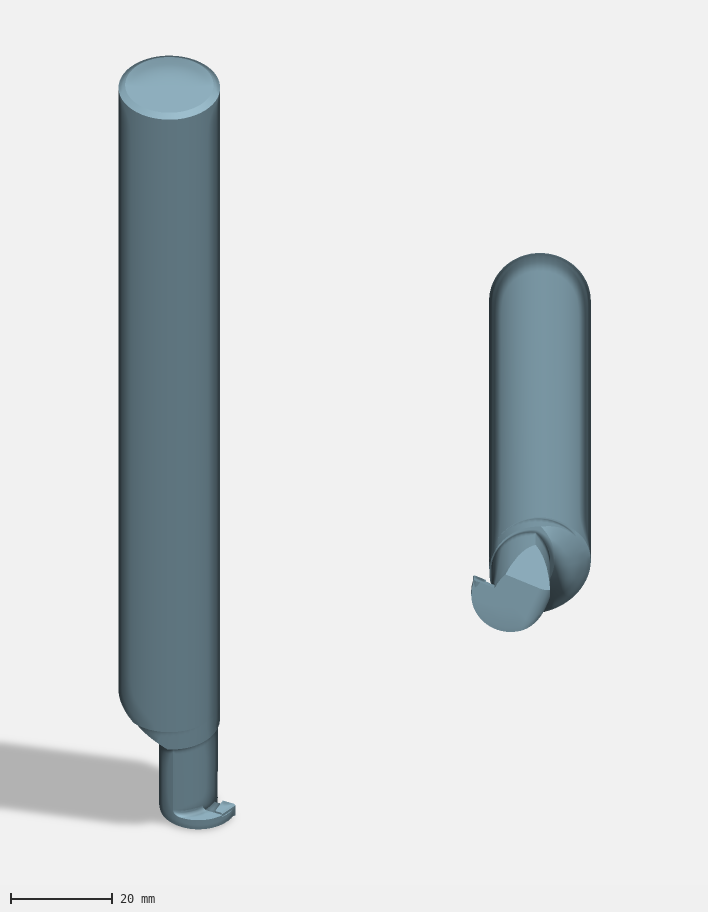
import cadquery as cq
import math

total_length = 180.0
overall_width = 24.23

shank_diameter = 19.96
shank_radius = shank_diameter / 2
end_chamfer_width = 1.3
end_chamfer_height = 0.7

shoulder_bottom = 20.0
shoulder_top = 24.6
shoulder_radius = 9.5
shoulder_center_x = shank_radius - shoulder_radius

cone_center_x = 7.4
cone_bottom_radius = 9.7
cone_height = 15.0

swing_center_x = 6.25
swing_radius = 7.75
relief_center_x = 1.86
relief_radius = 7.81
taper_start_height = 13.5
taper_angle = 18.0

foot_bottom = 0.35
foot_top = 2.65
foot_fillet = 1.0
heel_radius = 3.0

insert_thickness = 3.6
insert_back_x = 11.5
insert_tip_x = overall_width - shank_radius
insert_heel_x = 13.0
insert_top = 3.1
insert_nose_x = 13.65
insert_corner = 0.3
insert_seat_height = 0.9
seat_floor = 2.2

clear = 40.0


def make_shank():
    """Chamfered round bar with the shoulder, trimmed by the cone."""
    half_section = (
        cq.Workplane("XZ")
        .moveTo(0, shoulder_top)
        .lineTo(shank_radius, shoulder_top)
        .lineTo(shank_radius, total_length - end_chamfer_height)
        .lineTo(shank_radius - end_chamfer_width, total_length)
        .lineTo(0, total_length)
        .close()
    )
    bar = half_section.revolve(360, (0, 0, 0), (0, 1, 0))
    shoulder = (
        cq.Workplane("XY", origin=(shoulder_center_x, 0, shoulder_bottom))
        .circle(shoulder_radius)
        .extrude(shoulder_top - shoulder_bottom)
    )
    cone_top = shoulder_bottom + cone_height
    envelope = (
        cq.Workplane("XZ", origin=(cone_center_x, 0, 0))
        .moveTo(0, shoulder_bottom)
        .lineTo(cone_bottom_radius, shoulder_bottom)
        .lineTo(cone_bottom_radius + cone_height, cone_top)
        .lineTo(cone_bottom_radius + cone_height, total_length)
        .lineTo(0, total_length)
        .close()
        .revolve(360, (0, 0, 0), (0, 1, 0))
    )
    return bar.union(shoulder).intersect(envelope)


def make_relief_cutter():
    """Ring outside the relief circle, rounded where the neck meets the foot."""
    return (
        cq.Workplane("XZ", origin=(relief_center_x, 0, 0))
        .moveTo(relief_radius, shoulder_bottom)
        .lineTo(relief_radius, foot_top + foot_fillet)
        .radiusArc((relief_radius + foot_fillet, foot_top), -foot_fillet)
        .lineTo(clear, foot_top)
        .lineTo(clear, shoulder_bottom)
        .close()
        .revolve(360, (0, 0, 0), (0, 1, 0))
    )


def make_relief_core():
    """Full cylinder of the relief circle, kept clear of the rake and seat cuts."""
    return cq.Workplane("XY").center(relief_center_x, 0).circle(relief_radius).extrude(shoulder_bottom)


def make_rake_cutter():
    """Everything on the +Y side of the rake plane that lies outside the relief circle."""
    block = cq.Workplane("XY").box(clear, clear, shoulder_bottom, centered=False)
    return block.cut(make_relief_core())


def make_seat_cutter():
    """Shallow pocket in the foot that opens at the rake plane and holds the insert."""
    block = (
        cq.Workplane("XY", origin=(0, -insert_thickness, seat_floor))
        .box(clear, insert_thickness, shoulder_bottom - seat_floor, centered=False)
    )
    return block.cut(make_relief_core())


def make_heel_cutter():
    """Rounds the lower -X corner of the neck along Y."""
    left = swing_center_x - swing_radius
    return (
        cq.Workplane("XZ", origin=(0, clear / 2, 0))
        .moveTo(left, foot_bottom)
        .lineTo(left + heel_radius, foot_bottom)
        .radiusArc((left, foot_bottom + heel_radius), heel_radius)
        .close()
        .extrude(clear)
    )


def make_taper_cutter():
    """Sloping clearance on the +Y side of the neck."""
    inset = taper_start_height * math.tan(math.radians(taper_angle))
    return (
        cq.Workplane("YZ", origin=(-clear / 2, 0, 0))
        .moveTo(swing_radius - inset, 0)
        .lineTo(swing_radius, taper_start_height)
        .lineTo(clear, taper_start_height)
        .lineTo(clear, 0)
        .close()
        .extrude(clear)
    )


def make_neck():
    """Lens-shaped neck and the foot that reaches out under it."""
    column = (
        cq.Workplane("XY", origin=(swing_center_x, 0, foot_bottom))
        .circle(swing_radius)
        .extrude(shoulder_bottom - foot_bottom)
    )
    cutters = [
        make_relief_cutter(),
        make_rake_cutter(),
        make_seat_cutter(),
        make_heel_cutter(),
        make_taper_cutter(),
    ]
    for cutter in cutters:
        column = column.cut(cutter)
    return column


def make_insert():
    """Block with a sharp nose at the rake face, tapering back to its heel."""
    rake_face = [
        (insert_back_x, insert_seat_height),
        (insert_nose_x, 0),
        (insert_tip_x, insert_corner),
        (insert_tip_x, insert_top - insert_corner),
        (insert_tip_x - insert_corner, insert_top),
        (insert_back_x, insert_top),
    ]
    heel_face = [
        (insert_back_x, insert_seat_height),
        (insert_heel_x - insert_corner, insert_seat_height),
        (insert_heel_x, insert_seat_height + insert_corner),
        (insert_heel_x, insert_top - insert_corner),
        (insert_heel_x - insert_corner, insert_top),
        (insert_back_x, insert_top),
    ]
    return (
        cq.Workplane("XZ")
        .polyline(rake_face)
        .close()
        .workplane(offset=insert_thickness)
        .polyline(heel_face)
        .close()
        .loft(ruled=True)
    )


insert = make_insert()
toolholder = make_shank().union(make_neck()).cut(insert)

result = cq.Compound.makeCompound([toolholder.val(), insert.val()])